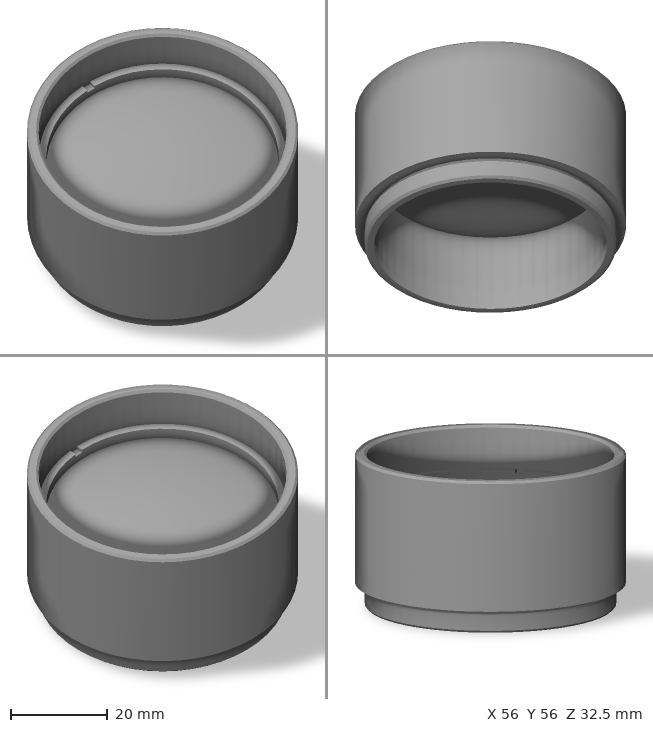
import cadquery as cq
import math

barrel_radius = 28.0
total_height = 32.5
barrel_base_z = 5.0
collar_radius = 26.0
groove_radius = 25.5
groove_base_z = 4.0
edge_chamfer = 0.5

bore_radius = 25.6
aperture_radius = 24.0

ring_top_z = 23.4
ring_height = 2.5
ring_base_z = ring_top_z - ring_height
slot_width = 1.9
slot_depth = 0.7

dome_rise = 3.85
lens_edge_thickness = 2.8
dome_radius = (aperture_radius**2 + dome_rise**2) / (2 * dome_rise)
lens_apex_z = ring_base_z + dome_rise
lens_rim_z = lens_apex_z - dome_radius + math.sqrt(dome_radius**2 - bore_radius**2)
seat_z = lens_rim_z - lens_edge_thickness


def make_housing():
    """Revolve the stepped wall of the housing about Z."""
    wall = (
        cq.Workplane("XZ")
        .moveTo(aperture_radius, 0)
        .lineTo(collar_radius - edge_chamfer, 0)
        .lineTo(collar_radius, edge_chamfer)
        .lineTo(collar_radius, groove_base_z)
        .lineTo(groove_radius, groove_base_z)
        .lineTo(groove_radius, barrel_base_z)
        .lineTo(barrel_radius, barrel_base_z)
        .lineTo(barrel_radius, total_height - edge_chamfer)
        .lineTo(barrel_radius - edge_chamfer, total_height)
        .lineTo(bore_radius + edge_chamfer, total_height)
        .lineTo(bore_radius, total_height - edge_chamfer)
        .lineTo(bore_radius, seat_z)
        .lineTo(aperture_radius, seat_z)
        .close()
    )
    return wall.revolve(360, (0, 0, 0), (0, 1, 0))


def make_retaining_ring():
    """Flat ring with a spanner slot across its top face along X."""
    ring = (
        cq.Workplane("XY", origin=(0, 0, ring_base_z))
        .circle(bore_radius)
        .circle(aperture_radius)
        .extrude(ring_height)
    )
    slot = (
        cq.Workplane("XY", origin=(0, 0, ring_top_z - slot_depth))
        .rect(2 * barrel_radius, slot_width)
        .extrude(slot_depth)
    )
    return ring.cut(slot)


def make_lens():
    """Revolve half of the lens section: flat base, straight rim and spherical dome."""
    dome_mid_x = bore_radius / 2
    dome_mid_z = lens_apex_z - dome_radius + math.sqrt(dome_radius**2 - dome_mid_x**2)
    section = (
        cq.Workplane("XZ")
        .moveTo(0, seat_z)
        .lineTo(bore_radius, seat_z)
        .lineTo(bore_radius, lens_rim_z)
        .threePointArc((dome_mid_x, dome_mid_z), (0, lens_apex_z))
        .close()
    )
    return section.revolve(360, (0, 0, 0), (0, 1, 0))


housing = make_housing()
retaining_ring = make_retaining_ring()
lens = make_lens()

result = cq.Compound.makeCompound([housing.val(), retaining_ring.val(), lens.val()])